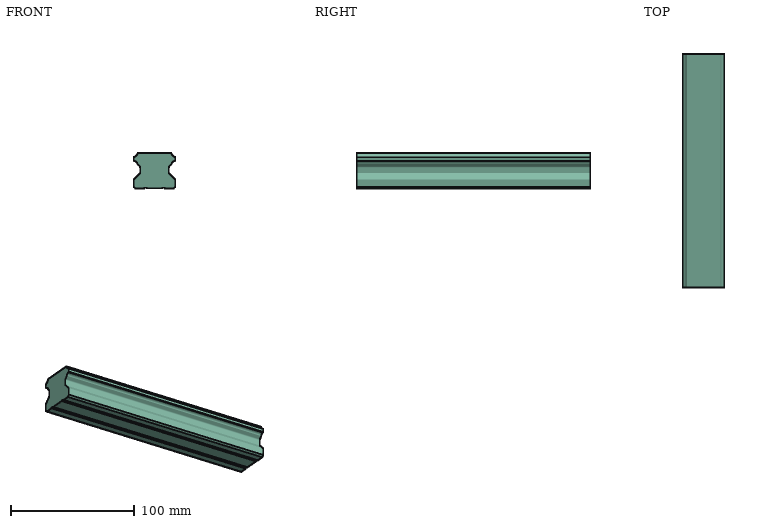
import cadquery as cq

length = 190.0
width = 34.0
height = 29.0
half_width = width / 2

top_half_width = 13.7
lip_top = 25.5
lip_bottom = 22.6
lip_chamfer = 0.5
lip_chamfer_height = 0.4
upper_groove_radius = 3.8
lower_groove_radius = 2.3
shoulder_half_width = 14.0
shoulder_z = 20.1

web_half_width = 11.8
web_top = 17.7
web_bottom = 12.5
web_blend_radius = 1.5

edge_radius = 0.4

foot_top = 7.5
foot_chamfer_width = 1.5
foot_chamfer_height = 1.5

base_groove_offset = 7.5
base_groove_width = 2.0
base_groove_depth = 0.5
base_relief_depth = 0.2

cap_diameter = 14.0
cap_thickness = 1.9
cap_pitch = 80.0
cap_count = 3


def half_section():
    """Right half of the rail section, closed along the centre line."""
    lip_edge = half_width - lip_chamfer
    return (
        cq.Workplane("XZ")
        .lineTo(half_width - foot_chamfer_width, 0)
        .lineTo(half_width, foot_chamfer_height)
        .lineTo(half_width, foot_top)
        .lineTo(web_half_width, web_bottom)
        .lineTo(web_half_width, web_top)
        .lineTo(shoulder_half_width, shoulder_z)
        .radiusArc((lip_edge, lip_bottom - lip_chamfer_height), lower_groove_radius)
        .lineTo(half_width, lip_bottom)
        .lineTo(half_width, lip_top)
        .lineTo(lip_edge, lip_top + lip_chamfer_height)
        .radiusArc((top_half_width, height), upper_groove_radius)
        .lineTo(0, height)
        .close()
    )


def rail():
    """Full-length solid rail, its edges blended and mirrored about the centre plane."""
    right = half_section().extrude(length / 2, both=True)
    blends = (
        (shoulder_half_width, shoulder_z, edge_radius),
        (web_half_width, web_top, web_blend_radius),
        (top_half_width, height, edge_radius),
        (web_half_width, web_bottom, edge_radius),
        (half_width, foot_top, edge_radius),
    )
    for x, z, radius in blends:
        right = right.edges(cq.selectors.NearestToPointSelector((x, 0, z))).fillet(radius)
    return right.union(right.mirror("YZ"))


def base_channel(x, channel_width, depth):
    """Full-length channel centred on x, cut up into the underside."""
    return cq.Workplane("XY").box(channel_width, length, 2 * depth).translate((x, 0, 0))


def caps():
    """Row of discs set into the top face, centred along the rail."""
    bottom = cq.Workplane("XY").workplane(offset=height - cap_thickness)
    return bottom.rarray(1.9, cap_pitch, 1, cap_count).circle(cap_diameter / 2).extrude(cap_thickness)


body = rail().cut(base_channel(0, 2 * base_groove_offset, base_relief_depth))
for x in (-base_groove_offset, base_groove_offset):
    body = body.cut(base_channel(x, base_groove_width, base_groove_depth))

result = body.cut(caps()).union(caps(), clean=False)